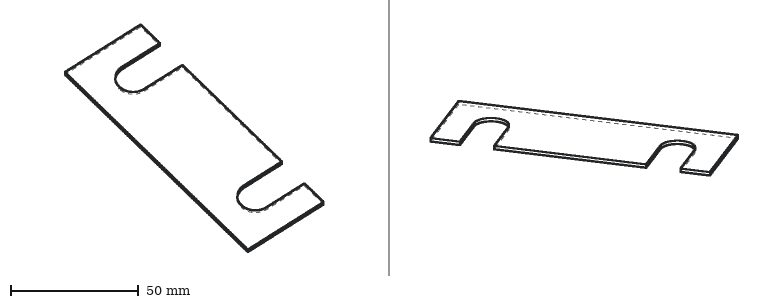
import cadquery as cq

length = 114.3
width = 38.1
thickness = 1.5

slot_width = 14.1
slot_depth = 26.1
slot_spacing = 76.2

slot_radius = slot_width / 2
back_edge = width / 2
arc_centre_y = back_edge - slot_depth + slot_radius


def open_slot(x):
    """Cutter for one slot centred on x, running through the plate."""
    return (
        cq.Workplane("XY")
        .moveTo(x - slot_radius, back_edge)
        .lineTo(x - slot_radius, arc_centre_y)
        .threePointArc((x, arc_centre_y - slot_radius), (x + slot_radius, arc_centre_y))
        .lineTo(x + slot_radius, back_edge)
        .close()
        .extrude(thickness)
    )


result = cq.Workplane("XY").box(length, width, thickness, centered=(True, True, False))
for side in (-1, 1):
    result = result.cut(open_slot(side * slot_spacing / 2))